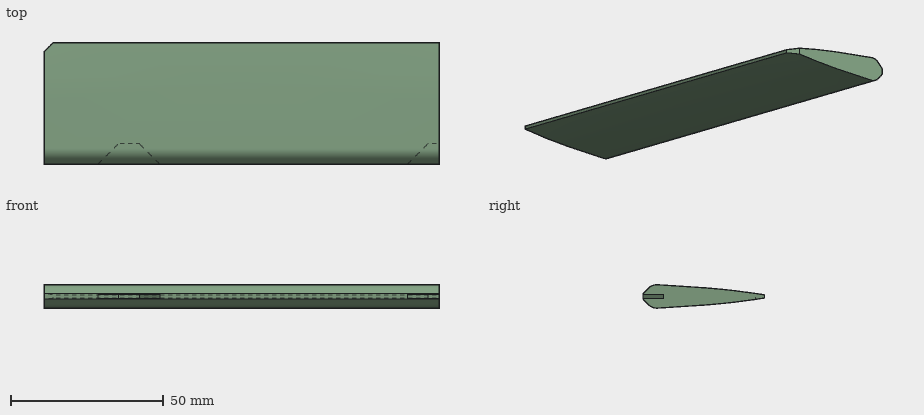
import cadquery as cq

length = 130.0
width = 40.0
thickness = 7.8

half_thickness = thickness / 2
nose_half = 0.9
bevel_depth = 1.8
bevel_half = 2.7
shoulder_depth = 5.1
shoulder_drop = 0.03
shoulder_half = half_thickness - shoulder_drop
flank_depth = 26.4
flank_half = 2.3
tail_half = 0.55

shoulder_slope = -0.05
tail_slope = -0.17

corner_cut = 3.0

first_pocket_start = 17.7
pocket_pitch = 101.8
pocket_count = 2
floor_length = 6.9
pocket_depth = 6.8
pocket_height = 1.3


def slat_body():
    """Symmetric tapering section extruded along X."""
    upper_half = (
        cq.Workplane("YZ")
        .lineTo(0, nose_half)
        .lineTo(bevel_depth, bevel_half)
        .tangentArcPoint((shoulder_depth, shoulder_half), relative=False)
        .spline(
            [(flank_depth, flank_half), (width, tail_half)],
            tangents=[(1, shoulder_slope), (1, tail_slope)],
            includeCurrent=True,
        )
        .lineTo(width, 0)
    )
    return upper_half.mirrorX().extrude(length)


def tail_corner():
    """Triangular prism covering the -X, +Y corner."""
    return (
        cq.Workplane("XY")
        .polyline([(0, width), (corner_cut, width), (0, width - corner_cut)])
        .close()
        .extrude(half_thickness, both=True)
    )


def nose_pocket(start):
    """Pocket that narrows from the nose face to a flat floor."""
    return (
        cq.Workplane("XY")
        .polyline([
            (start, 0),
            (start + pocket_depth, pocket_depth),
            (start + pocket_depth + floor_length, pocket_depth),
            (start + 2 * pocket_depth + floor_length, 0),
        ])
        .close()
        .extrude(pocket_height / 2, both=True)
    )


result = slat_body().cut(tail_corner())
for index in range(pocket_count):
    result = result.cut(nose_pocket(first_pocket_start + index * pocket_pitch))